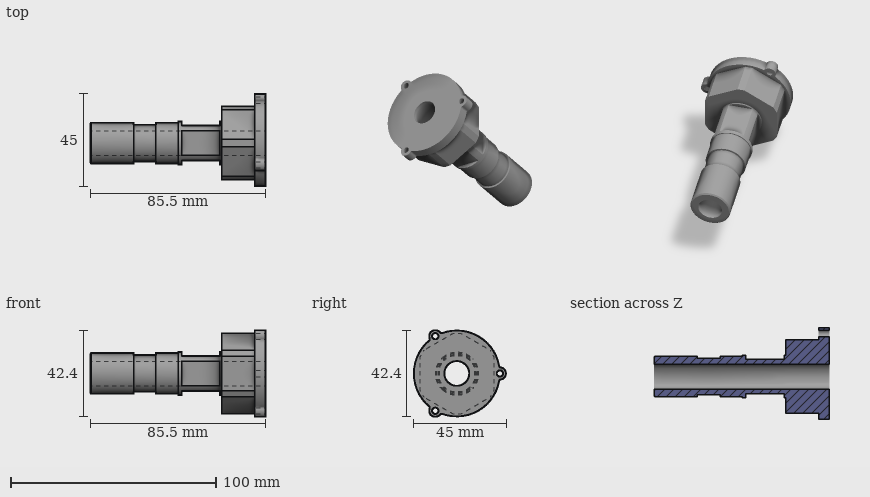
import cadquery as cq
import math

TIP_X = 0.0
GROOVE_START = 21.2
GROOVE_END = 32.1
COLLAR_START = 42.8
FLATS_START = 44.7
FLATS_END = 63.3
NUT_START = 64.0
FLANGE_START = 80.1
END_X = 85.5

BORE_DIAMETER = 12.0
STEM_DIAMETER = 20.0
GROOVE_DIAMETER = 18.0
COLLAR_DIAMETER = 21.0
TIP_CHAMFER = 0.6
SQUARE_WIDTH = 17.2

NUT_ACROSS_FLATS = 35.9
NUT_ACROSS_CUT_CORNERS = 39.4

FLANGE_DIAMETER = 42.0
FLANGE_RADIUS = FLANGE_DIAMETER / 2
LUG_RADIUS = 3.0
LUG_HOLE_DIAMETER = 3.0
LUG_BLEND_RADIUS = 0.85
LUG_ANGLES = (0, 120, 240)


def section(x):
    """Plane across the axis at x, with local x along Y and local y along Z."""
    return cq.Workplane("YZ", origin=(x, 0, 0))


def cylinder(start, end, diameter):
    return section(start).circle(diameter / 2).extrude(end - start)


def hexagon(across_flats, turn):
    """Hexagonal prism over the nut length; turn 0 puts a corner on +Y."""
    across_corners = across_flats / math.cos(math.pi / 6)
    prism = section(NUT_START).polygon(6, across_corners).extrude(FLANGE_START - NUT_START)
    return prism.rotate((0, 0, 0), (1, 0, 0), turn)


def make_stem():
    tip = cylinder(TIP_X, GROOVE_START, STEM_DIAMETER).faces("<X").chamfer(TIP_CHAMFER)
    groove = cylinder(GROOVE_START, GROOVE_END, GROOVE_DIAMETER)
    body = cylinder(GROOVE_END, COLLAR_START, STEM_DIAMETER)
    collar = cylinder(COLLAR_START, NUT_START, COLLAR_DIAMETER)
    flats_length = FLATS_END - FLATS_START
    square = section(FLATS_START).rect(SQUARE_WIDTH, SQUARE_WIDTH).extrude(flats_length)
    flat_cutter = cylinder(FLATS_START, FLATS_END, 2 * COLLAR_DIAMETER).cut(square)
    return tip.union(groove).union(body).union(collar.cut(flat_cutter))


def make_nut():
    return hexagon(NUT_ACROSS_FLATS, 30).intersect(hexagon(NUT_ACROSS_CUT_CORNERS, 0))


def make_flange():
    flange = cylinder(FLANGE_START, END_X, FLANGE_DIAMETER)
    centers = []
    for angle in LUG_ANGLES:
        turn = math.radians(angle)
        centers.append((FLANGE_RADIUS * math.cos(turn), FLANGE_RADIUS * math.sin(turn)))
    thickness = END_X - FLANGE_START
    lugs = section(FLANGE_START).pushPoints(centers).circle(LUG_RADIUS).extrude(thickness)
    holes = section(FLANGE_START).pushPoints(centers).circle(LUG_HOLE_DIAMETER / 2).extrude(thickness)

    half_angle = 2 * math.asin(LUG_RADIUS / (2 * FLANGE_RADIUS))
    flange = flange.union(lugs)
    for angle in LUG_ANGLES:
        for side in (-1, 1):
            turn = math.radians(angle) + side * half_angle
            corner = (
                (FLANGE_START + END_X) / 2,
                FLANGE_RADIUS * math.cos(turn),
                FLANGE_RADIUS * math.sin(turn),
            )
            flange = flange.edges(cq.NearestToPointSelector(corner)).fillet(LUG_BLEND_RADIUS)
    return flange.cut(holes)


bore = cylinder(TIP_X, END_X, BORE_DIAMETER)
result = make_stem().union(make_nut()).union(make_flange()).cut(bore)